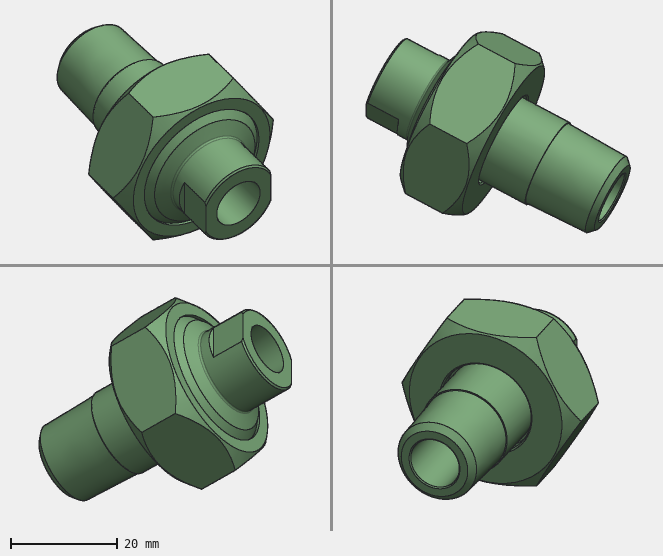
import cadquery as cq
import math


LENGTH = 49.0
TAPER_END = 13.9
NUT_START = 23.5
NUT_END = 37.0

BORE_DIA = 10.0
BORE_CHAMFER = 0.25

STUB_TIP_DIA = 13.7
TAPER_LARGE_DIA = 17.0
TAPER_RATIO = 1 / 16
TIP_CHAMFER = 1.25
SHANK_DIA = 17.5
FLANGE_DIA = 24.1
FLANGE_THICKNESS = 2.45

NUT_ACROSS_FLATS = 32.0
NUT_ACROSS_CORNERS = NUT_ACROSS_FLATS / math.cos(math.radians(30))
NUT_FACE_DIA = 31.45
NUT_FLOOR = 2.45
NUT_HOLE_DIA = 18.5
NUT_HOLE_CHAMFER = 0.3
THREAD_DIA = 26.4

SHOULDER_RIM_DIA = 23.15
SHOULDER_RIM_X = NUT_END + 1.05
SPIGOT_DIA = 17.0
SHOULDER_CONE_ANGLE = 65.0
NECK_FILLET = 0.45
SPIGOT_CHAMFER = 0.35
FLAT_START = 42.0
FLAT_ACROSS = 14.95
FLAT_WALL_ANGLE = 15.0

FLANGE_START = NUT_START + NUT_FLOOR
JOINT_X = FLANGE_START + FLANGE_THICKNESS


def revolve_about_x(points):
    """Revolve a closed profile of (x, radius) points about the X axis."""
    return cq.Workplane("XY").polyline(points).close().revolve(360, (0, 0, 0), (1, 0, 0))


def cylinder_along_x(diameter, start, end):
    return cq.Workplane("YZ").workplane(offset=start).circle(diameter / 2).extrude(end - start)


def make_stub():
    taper_small_dia = TAPER_LARGE_DIA - TAPER_RATIO * (TAPER_END - TIP_CHAMFER)
    bore_radius = BORE_DIA / 2
    return revolve_about_x([
        (0, bore_radius + BORE_CHAMFER),
        (0, STUB_TIP_DIA / 2),
        (TIP_CHAMFER, taper_small_dia / 2),
        (TAPER_END, TAPER_LARGE_DIA / 2),
        (TAPER_END, SHANK_DIA / 2),
        (FLANGE_START, SHANK_DIA / 2),
        (FLANGE_START, FLANGE_DIA / 2),
        (JOINT_X, FLANGE_DIA / 2),
        (JOINT_X, bore_radius),
        (BORE_CHAMFER, bore_radius),
    ])


def make_nut():
    hexagon = (
        cq.Workplane("YZ").workplane(offset=NUT_START)
        .polygon(6, NUT_ACROSS_CORNERS).extrude(NUT_END - NUT_START)
    )

    face_radius = NUT_FACE_DIA / 2
    corner_radius = NUT_ACROSS_CORNERS / 2
    corner_chamfer = corner_radius - face_radius
    corner_envelope = revolve_about_x([
        (NUT_START, 0),
        (NUT_START, face_radius),
        (NUT_START + corner_chamfer, corner_radius),
        (NUT_END - corner_chamfer, corner_radius),
        (NUT_END, face_radius),
        (NUT_END, 0),
    ])

    hole_radius = NUT_HOLE_DIA / 2
    cavity = revolve_about_x([
        (NUT_START, 0),
        (NUT_START, hole_radius + NUT_HOLE_CHAMFER),
        (NUT_START + NUT_HOLE_CHAMFER, hole_radius),
        (FLANGE_START, hole_radius),
        (FLANGE_START, THREAD_DIA / 2),
        (NUT_END, THREAD_DIA / 2),
        (NUT_END, 0),
    ])
    return hexagon.intersect(corner_envelope).cut(cavity)


def make_flat_cutter():
    """Cutter for the flat on the +Y side of the spigot."""
    flat_y = FLAT_ACROSS / 2
    outer_y = SPIGOT_DIA
    lean = (outer_y - flat_y) * math.tan(math.radians(FLAT_WALL_ANGLE))
    profile = [
        (FLAT_START, flat_y),
        (LENGTH, flat_y),
        (LENGTH, outer_y),
        (FLAT_START - lean, outer_y),
    ]
    return cq.Workplane("XY").polyline(profile).close().extrude(SPIGOT_DIA / 2, both=True)


def make_tail():
    spigot_radius = SPIGOT_DIA / 2
    rim_radius = SHOULDER_RIM_DIA / 2
    thread_radius = THREAD_DIA / 2
    cone_length = (rim_radius - spigot_radius) / math.tan(math.radians(SHOULDER_CONE_ANGLE))
    neck_x = SHOULDER_RIM_X + cone_length

    thread_end = SHOULDER_RIM_X - (thread_radius - rim_radius)
    body = revolve_about_x([
        (JOINT_X, 0),
        (JOINT_X, thread_radius),
        (thread_end, thread_radius),
        (SHOULDER_RIM_X, rim_radius),
        (neck_x, spigot_radius),
        (LENGTH, spigot_radius),
        (LENGTH, 0),
    ])
    neck_edge = cq.selectors.NearestToPointSelector((neck_x, 0, 0))
    body = body.edges("%CIRCLE").edges(neck_edge).fillet(NECK_FILLET)
    body = body.faces(">X").edges().chamfer(SPIGOT_CHAMFER)

    flat_cutter = make_flat_cutter()
    body = body.cut(flat_cutter).cut(flat_cutter.mirror("XZ"))
    return body.cut(cylinder_along_x(BORE_DIA, JOINT_X, LENGTH))


stub = make_stub()
nut = make_nut()
tail = make_tail()

result = cq.Compound.makeCompound([stub.val(), nut.val(), tail.val()])